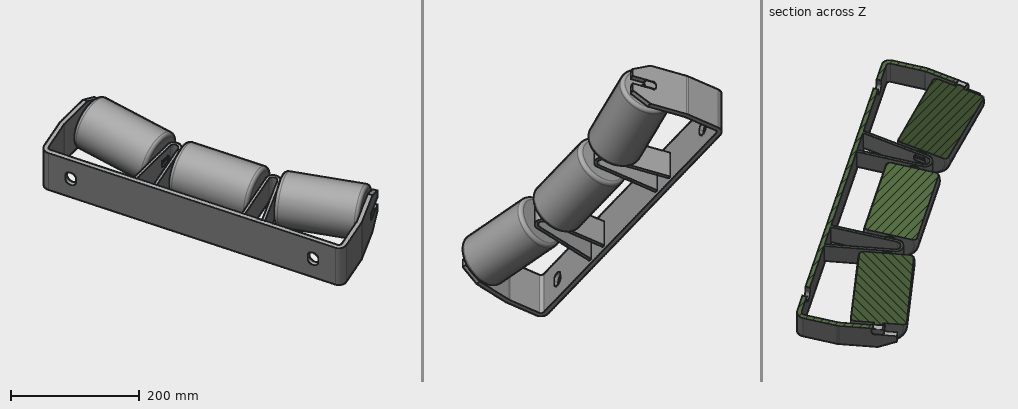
import cadquery as cq
import math

frame_length = 520.0
frame_height = 80.0
plate = 8.0
corner_radius = 13.0
wing_bend_start = 67.5
wing_bend_radius = 18.0
wing_tip = 160.0
lean = 10.0
tip_chamfer_start = 130.5
tip_chamfer_drop = 17.5

mount_offset = 208.5
mount_width = 18.0
mount_length = 26.0

strap = 5.0
strap_width = 50.0
upright_face = 73.5
arch_radius = 12.0
arch_center_y = 115.0

roller_diameter = 89.0
roller_length = 136.0
roller_fillet = 6.0
axle_diameter = 20.5
axle_flats = 13.5
wing_slot_width = 15.5
middle_y = 101.0
middle_z = -7.0
side_x = 170.5
side_y = 117.0
side_z = -2.9
side_tilt = 2.1

lean_sin = math.sin(math.radians(lean))
lean_cos = math.cos(math.radians(lean))


def on_circle(center, radius, degrees):
    angle = math.radians(degrees)
    return (center[0] + radius * math.cos(angle), center[1] + radius * math.sin(angle))


def both_sides(body):
    return body.union(body.mirror("YZ"))


def make_bent_strip():
    """Half of the strip, swept along its mid-plane from X = 0 to the wing tip, then mirrored."""
    half_length = frame_length / 2
    corner = (half_length - corner_radius, corner_radius)
    corner_mid = corner_radius - plate / 2
    bend = (half_length - wing_bend_radius, wing_bend_start)
    bend_mid = wing_bend_radius - plate / 2
    wing_root = on_circle(bend, bend_mid, lean)
    wing_rise = wing_tip - plate / 2 * lean_sin - wing_root[1]
    wing_end = (wing_root[0] - wing_rise * lean_sin / lean_cos, wing_tip - plate / 2 * lean_sin)
    path = (
        cq.Workplane("XY")
        .moveTo(0, plate / 2)
        .lineTo(*on_circle(corner, corner_mid, -90))
        .threePointArc(on_circle(corner, corner_mid, -45), on_circle(corner, corner_mid, 0))
        .lineTo(*on_circle(bend, bend_mid, 0))
        .threePointArc(on_circle(bend, bend_mid, lean / 2), wing_root)
        .lineTo(*wing_end)
    )
    half = cq.Workplane("YZ").center(plate / 2, 0).rect(plate, frame_height).sweep(path)
    return both_sides(half)


def make_tip_chamfers():
    """Wedges that trim the upper and lower corners of the wing tips."""
    edge = frame_height / 2
    upper = (
        cq.Workplane("YZ")
        .polyline([(tip_chamfer_start, edge), (wing_tip, edge), (wing_tip, edge - tip_chamfer_drop)])
        .close()
        .extrude(frame_length / 2, both=True)
    )
    return upper.union(upper.mirror("XY"))


def make_mount_slots():
    return (
        cq.Workplane("XZ")
        .pushPoints([(-mount_offset, 0), (mount_offset, 0)])
        .slot2D(mount_length, mount_width, 90)
        .extrude(-plate)
    )


def make_brackets():
    """Two arched straps whose feet run into the back plate."""
    center = (upright_face + arch_radius, arch_center_y)
    mid_radius = arch_radius - strap / 2
    foot_y = plate / 2
    slant_top = on_circle(center, mid_radius, lean)
    slant_foot_x = slant_top[0] + (slant_top[1] - foot_y) * lean_sin / lean_cos
    path = (
        cq.Workplane("XY", origin=(0, 0, middle_z))
        .moveTo(center[0] - mid_radius, foot_y)
        .lineTo(center[0] - mid_radius, arch_center_y)
        .threePointArc(on_circle(center, mid_radius, 90), slant_top)
        .lineTo(slant_foot_x, foot_y)
    )
    bracket = (
        cq.Workplane("XZ", origin=(0, foot_y, 0))
        .center(center[0] - mid_radius, middle_z)
        .rect(strap, strap_width)
        .sweep(path)
    )
    return both_sides(bracket)


def make_drum():
    """Roller barrel along X, centred on the origin."""
    drum = (
        cq.Workplane("YZ", origin=(-roller_length / 2, 0, 0))
        .circle(roller_diameter / 2)
        .extrude(roller_length)
    )
    return drum.edges().fillet(roller_fillet)


def make_bar(start, end, diameter, flats):
    """Round bar along X with two flats facing up and down."""
    bar = cq.Workplane("YZ", origin=(start, 0, 0)).circle(diameter / 2).extrude(end - start)
    slab = cq.Workplane("YZ", origin=(start, 0, 0)).rect(diameter, flats).extrude(end - start)
    return bar.intersect(slab)


def make_middle_roller():
    """Drum whose round axle reaches into both upright legs."""
    axle_reach = upright_face + strap / 2
    axle = cq.Workplane("YZ").circle(axle_diameter / 2).extrude(axle_reach, both=True)
    return make_drum().union(axle).translate((0, middle_y, middle_z))


def distance_from_side_roller(face_point):
    """Distance along the leaning axle from the side roller's centre to a leaning face."""
    return (face_point[0] - side_x) * lean_cos + (face_point[1] - side_y) * lean_sin


wing_outer = distance_from_side_roller(
    on_circle((frame_length / 2 - wing_bend_radius, wing_bend_start), wing_bend_radius, lean)
)
wing_inner = wing_outer - plate
leg_outer = distance_from_side_roller(
    on_circle((upright_face + arch_radius, arch_center_y), arch_radius, lean)
)
leg_inner = leg_outer - strap


def place_at_side(body):
    """Move a body from the roller's own axes to the +X roller position."""
    tilted = body.rotate((0, 0, 0), (0, 1, 0), -side_tilt)
    leaning = tilted.rotate((0, 0, 0), (0, 0, 1), lean)
    return leaning.translate((side_x, side_y, side_z))


def make_side_axle():
    """Axle, round between the supports and flattened inside them."""
    flattened = make_bar(leg_inner, wing_outer, axle_diameter, axle_flats)
    round_part = (
        cq.Workplane("YZ", origin=(leg_outer, 0, 0))
        .circle(axle_diameter / 2)
        .extrude(wing_inner - leg_outer)
    )
    return flattened.union(round_part)


def make_side_roller():
    return place_at_side(make_drum().union(make_side_axle()))


def make_wing_slot():
    """Open slot in a wing; its rounded bottom carries the axle."""
    slot_start = wing_inner - plate / 2
    slot_end = wing_outer + plate / 2
    bottom = make_bar(slot_start, slot_end, axle_diameter, wing_slot_width)
    mouth = cq.Workplane("XY").box(
        slot_end - slot_start, wing_tip - side_y, wing_slot_width, centered=(False, False, True)
    )
    return place_at_side(bottom.union(mouth.translate((slot_start, 0, 0))))


def make_frame():
    """Bent strip, brackets and the middle roller fixed between them."""
    frame = make_bent_strip().cut(make_tip_chamfers()).cut(make_mount_slots())
    frame = frame.union(make_brackets()).union(make_middle_roller())
    axle_seat = place_at_side(make_side_axle())
    side_cuts = make_wing_slot().union(axle_seat)
    return frame.cut(side_cuts).cut(side_cuts.mirror("YZ"))


frame = make_frame()
right_roller = make_side_roller()
side_rollers = [right_roller, right_roller.mirror("YZ")]

result = cq.Compound.makeCompound([frame.val(), *[roller.val() for roller in side_rollers]])